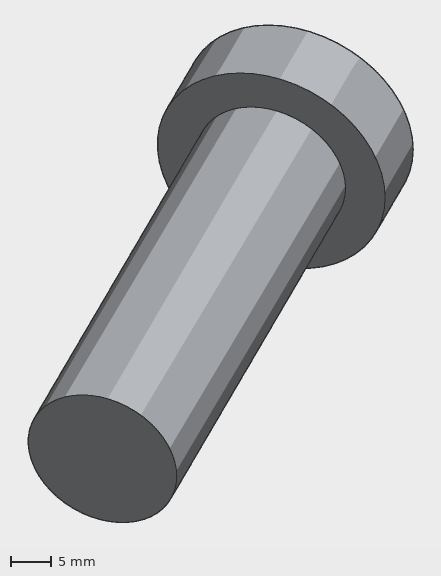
import cadquery as cq

total_length = 70.0
head_diameter = 30.0
head_thickness = 10.0
shank_diameter = 19.6
shank_length = total_length - head_thickness


def cylinder_along_y(diameter, start_y, length):
    """Solid cylinder on the Y axis, running from start_y toward +Y."""
    base = cq.Workplane("XZ", origin=(0, start_y, 0))
    return base.circle(diameter / 2).extrude(-length)


shank = cylinder_along_y(shank_diameter, 0, shank_length)
head = cylinder_along_y(head_diameter, shank_length, head_thickness)

result = shank.union(head)